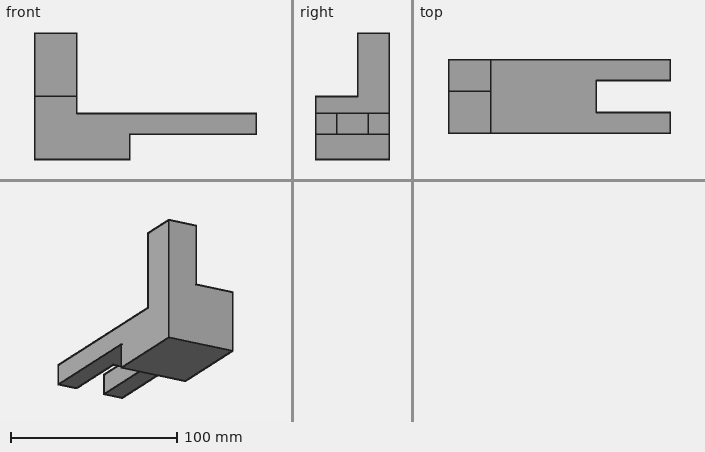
import cadquery as cq

length = 133.4
width = 44.4
height = 76.1

base_length = 57.2
end_length = 25.3
shoulder_height = height / 2
post_width = 19.1

plate_bottom = 15.2
plate_thickness = 12.7
plate_top = plate_bottom + plate_thickness
slot_depth = 44.4
slot_width = 19.1


def box(x_size, y_size, z_size, x=0, y=0, z=0):
    """Box with its minimum corner at (x, y, z)."""
    return cq.Workplane("XY").box(x_size, y_size, z_size, centered=False).translate((x, y, z))


base = box(base_length, width, plate_top)
shoulder = box(end_length, width, shoulder_height)

post = box(end_length, post_width, height, y=width - post_width)

plate = box(length, width, plate_thickness, z=plate_bottom)
slot = box(
    slot_depth, slot_width, plate_thickness,
    x=length - slot_depth, y=(width - slot_width) / 2, z=plate_bottom,
)
fork = plate.cut(slot)

result = base.union(shoulder).union(post).union(fork).clean()